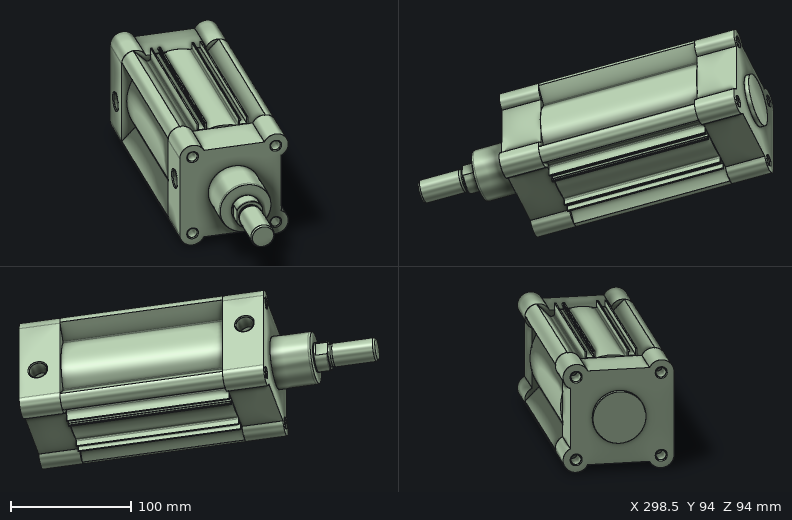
import cadquery as cq
import math


cap_length = 35.0
cap_span = 94.0
lug_radius = 11.0
lug_offset = cap_span / 2 - lug_radius
cap_core_half = 40.8
rear_boss_length = 4.0
boss_radius = 22.4
front_boss_length = 34.0
boss_chamfer_length = 1.8
boss_chamfer_depth = 0.45

screw_radius = 4.2
screw_depth = 18.0
screw_chamfer = 1.0

port_radius = 7.5
port_depth = 15.0
port_chamfer = 1.0
port_inset = 16.0
port_offset = 9.2

barrel_length = 138.3
tube_radius = 42.5
rib_width = 14.0
rib_root_distance = 29.8
side_rib_fillet = 1.0
top_rib_fillet = 2.5

fin_thickness = 1.2
fin_top = cap_span / 2
fin_inner_face = 13.7
fin_outer_face = 22.0
rail_floor = 41.5
rail_root = 35.8
fin_fillet = 1.2
bead_radius = 1.0
bead_drop = 1.5

rod_radius = 12.5
rod_length = 52.2
flat_half_width = 11.0
flat_start = 2.5
shoulder_end = 12.2
shoulder_chamfer_length = 1.0
shoulder_chamfer_depth = 0.3
thread_radius = 10.0
thread_chamfer_length = 1.8
thread_chamfer_depth = 1.0
undercut_radius = 9.5
undercut_length = 1.8
undercut_taper = 1.8

position_tolerance = 0.03

barrel_start = cap_length
front_cap_start = barrel_start + barrel_length
front_cap_end = front_cap_start + cap_length
rod_start = front_cap_end + front_boss_length

lug_centres = [(y * lug_offset, z * lug_offset) for y in (-1, 1) for z in (-1, 1)]
rib_angles = (45, 135, 225, 315)


def cylinder_x(x_start, length, radius):
    """Cylinder on the main axis."""
    return cq.Workplane("YZ", origin=(x_start, 0, 0)).circle(radius).extrude(length)


def block(x_start, length, y_range, z_range):
    """Box given by its start and length along X and its limits in Y and Z."""
    size = (length, y_range[1] - y_range[0], z_range[1] - z_range[0])
    return cq.Workplane("XY").box(*size, centered=False).translate((x_start, y_range[0], z_range[0]))


def chamfered_hole(entry, direction, radius, depth, chamfer):
    """Cutter for a blind hole with a conical chamfer at its entry point."""
    bore = cq.Solid.makeCylinder(radius, depth, entry, direction)
    countersink = cq.Solid.makeCone(radius + chamfer, radius, chamfer, entry, direction)
    return cq.Workplane(bore).union(cq.Workplane(countersink))


def cap(x_start, outer_face_x, inward, port_z):
    """Plate with four round lugs; its -Y side is flat out to the lugs. `inward` is +1 or -1 along X."""
    core_range = (-cap_core_half, cap_core_half)
    body = block(x_start, cap_length, core_range, core_range)
    lugs = cq.Workplane("YZ", origin=(x_start, 0, 0)).pushPoints(lug_centres).circle(lug_radius)
    body = body.union(lugs.extrude(cap_length))
    port_pad = block(x_start, cap_length, (-cap_span / 2, 0), (-lug_offset, lug_offset))
    body = body.union(port_pad)

    for y, z in lug_centres:
        entry = cq.Vector(outer_face_x, y, z)
        hole = chamfered_hole(entry, cq.Vector(inward, 0, 0), screw_radius, screw_depth, screw_chamfer)
        body = body.cut(hole)

    port_entry = cq.Vector(outer_face_x + inward * port_inset, -cap_span / 2, port_z)
    port = chamfered_hole(port_entry, cq.Vector(0, 1, 0), port_radius, port_depth, port_chamfer)
    return body.cut(port)


def make_rear_cap():
    boss = cylinder_x(-rear_boss_length, rear_boss_length, boss_radius)
    return cap(0, 0, 1, -port_offset).union(boss)


def make_front_cap():
    boss = cylinder_x(front_cap_end, front_boss_length, boss_radius)
    boss = boss.faces(">X").edges().chamfer(boss_chamfer_length, boss_chamfer_depth)
    return cap(front_cap_start, front_cap_end, -1, port_offset).union(boss)


def corner_rib(angle):
    """Diagonal rib from the tube to one corner, ending in an arc that lines up with the cap lugs."""
    lug_distance = lug_offset * math.sqrt(2)
    half_width = rib_width / 2
    arc_start = lug_distance + math.sqrt(lug_radius**2 - half_width**2)
    rib = (
        cq.Workplane("YZ", origin=(barrel_start, 0, 0))
        .moveTo(rib_root_distance, -half_width)
        .lineTo(arc_start, -half_width)
        .threePointArc((lug_distance + lug_radius, 0), (arc_start, half_width))
        .lineTo(rib_root_distance, half_width)
        .close()
        .extrude(barrel_length)
    )
    return rib.rotate((0, 0, 0), (1, 0, 0), angle)


def rib_root_edges(body, on_top):
    """Edges where the ribs meet the tube, on the top and bottom or on the Y sides."""
    def is_root(edge):
        centre = edge.Center()
        on_tube = abs(math.hypot(centre.y, centre.z) - tube_radius) < position_tolerance
        off_axis = min(abs(centre.y), abs(centre.z)) > rib_width / 2
        return on_tube and off_axis and (abs(centre.z) > abs(centre.y)) == on_top

    return body.edges("|X").filter(is_root)


def sensor_rail():
    """Channel of two fins on the +Y, +Z side, with a retaining bead on the inner fin."""
    base = block(barrel_start, barrel_length, (fin_inner_face, fin_outer_face), (rail_root, rail_floor))
    inner_bead_face = fin_inner_face + fin_thickness
    inner_fin = block(barrel_start, barrel_length, (fin_inner_face, inner_bead_face), (rail_root, fin_top))
    outer_fin = block(
        barrel_start, barrel_length, (fin_outer_face - fin_thickness, fin_outer_face), (rail_root, fin_top)
    )
    bead = (
        cq.Workplane("YZ", origin=(barrel_start, inner_bead_face, fin_top - bead_drop))
        .circle(bead_radius)
        .extrude(barrel_length)
    )
    return base.union(inner_fin).union(outer_fin).union(bead)


def rail_root_edges(body):
    """Edges where the outer sides of the sensor rails meet the tube."""
    def is_root(edge):
        centre = edge.Center()
        on_tube = abs(math.hypot(centre.y, centre.z) - tube_radius) < position_tolerance
        fin_gaps = [abs(abs(centre.y) - face) for face in (fin_inner_face, fin_outer_face)]
        on_fin = min(fin_gaps) < position_tolerance
        return on_tube and on_fin

    return body.edges("|X").filter(is_root)


def make_barrel():
    body = cylinder_x(barrel_start, barrel_length, tube_radius)
    for angle in rib_angles:
        body = body.union(corner_rib(angle))
    body = rib_root_edges(body, on_top=False).fillet(side_rib_fillet)
    body = rib_root_edges(body, on_top=True).fillet(top_rib_fillet)

    upper_rails = sensor_rail().union(sensor_rail().mirror("XZ"))
    body = body.union(upper_rails).union(upper_rails.mirror("XY"))
    return rail_root_edges(body).fillet(fin_fillet)


def make_rod():
    """Rod end with two wrench flats, an undercut and a plain cylinder at the thread's outer diameter."""
    undercut_end = shoulder_end + undercut_length
    thread_start = undercut_end + undercut_taper
    profile = [
        (0, 0),
        (0, rod_radius - shoulder_chamfer_depth),
        (shoulder_chamfer_length, rod_radius),
        (shoulder_end - shoulder_chamfer_length, rod_radius),
        (shoulder_end, rod_radius - shoulder_chamfer_depth),
        (shoulder_end, undercut_radius),
        (undercut_end, undercut_radius),
        (thread_start, thread_radius),
        (rod_length - thread_chamfer_length, thread_radius),
        (rod_length, thread_radius - thread_chamfer_depth),
        (rod_length, 0),
    ]
    body = cq.Workplane("XY").polyline(profile).close().revolve(360, (0, 0), (1, 0))
    for flat_range in ((flat_half_width, rod_radius), (-rod_radius, -flat_half_width)):
        body = body.cut(block(flat_start, shoulder_end - flat_start, flat_range, (-rod_radius, rod_radius)))
    return body.translate((rod_start, 0, 0))


rear_cap = make_rear_cap()
barrel = make_barrel()
front_cap = make_front_cap()
rod = make_rod()

result = cq.Compound.makeCompound([rear_cap.val(), barrel.val(), front_cap.val(), rod.val()])